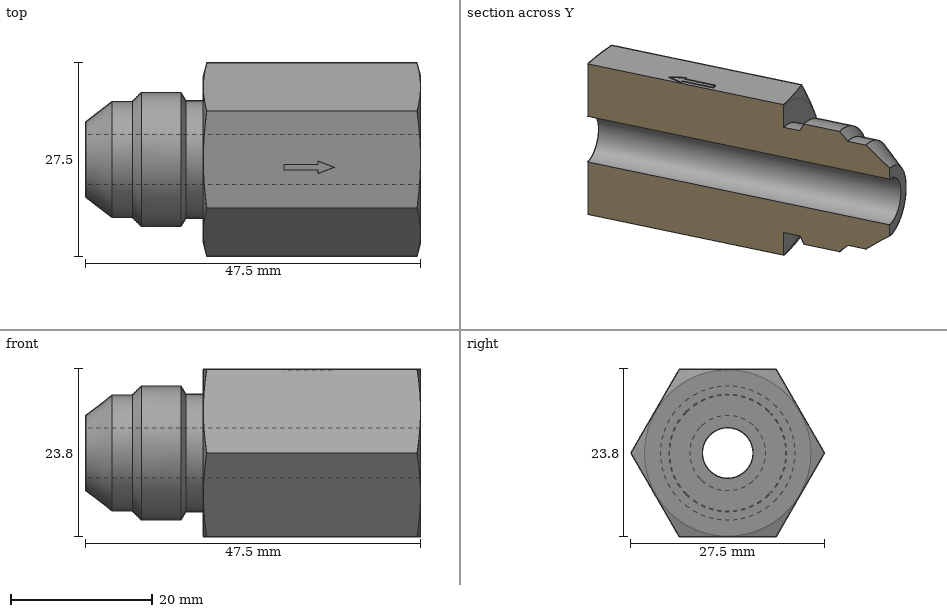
import cadquery as cq
import math

nose_cone_end = 3.75
nose_end = 6.6
thread_start = 7.9
thread_end = 13.5
neck_start = 14.2
hex_start = 16.65
total_length = 47.5

nose_tip_diameter = 10.7
nose_diameter = 16.48
thread_diameter = 19.05
neck_diameter = 16.69
bore_diameter = 7.14

across_flats = 23.8
across_corners = across_flats / math.cos(math.radians(30))
chamfer_face_diameter = 23.6
chamfer_angle = 15.0

arrow_tail_x = 28.1
arrow_length = 7.15
arrow_head_length = 2.3
arrow_shaft_width = 0.8
arrow_head_width = 1.75
arrow_y = -1.1
arrow_depth = 0.1


def revolve_about_x(profile_points):
    """Revolve a closed (x, radius) outline about the X axis."""
    outline = cq.Workplane("XY").polyline(profile_points).close()
    return outline.revolve(360, (0, 0, 0), (1, 0, 0))


def make_turned_end():
    """Coned nose, thread land and neck, ending at the hexagon face."""
    nose_tip_radius = nose_tip_diameter / 2
    nose_radius = nose_diameter / 2
    thread_radius = thread_diameter / 2
    neck_radius = neck_diameter / 2
    return revolve_about_x([
        (0, 0),
        (0, nose_tip_radius),
        (nose_cone_end, nose_radius),
        (nose_end, nose_radius),
        (thread_start, thread_radius),
        (thread_end, thread_radius),
        (neck_start, neck_radius),
        (hex_start, neck_radius),
        (hex_start, 0),
    ])


def make_hex_body():
    """Hexagonal prism, flats up and down, with its corners chamfered at both ends."""
    prism = (
        cq.Workplane("YZ", origin=(hex_start, 0, 0))
        .polygon(6, across_corners)
        .extrude(total_length - hex_start)
    )
    face_radius = chamfer_face_diameter / 2
    corner_radius = across_corners / 2
    chamfer_length = (corner_radius - face_radius) * math.tan(math.radians(chamfer_angle))
    envelope = revolve_about_x([
        (hex_start, 0),
        (hex_start, face_radius),
        (hex_start + chamfer_length, corner_radius),
        (total_length - chamfer_length, corner_radius),
        (total_length, face_radius),
        (total_length, 0),
    ])
    return prism.intersect(envelope)


def make_bore():
    """Through bore along the X axis."""
    return cq.Workplane("YZ").circle(bore_diameter / 2).extrude(total_length)


def make_flow_arrow():
    """Shallow arrow pointing along +X, sunk below the top flat."""
    tip_x = arrow_tail_x + arrow_length
    head_x = tip_x - arrow_head_length
    half_shaft = arrow_shaft_width / 2
    half_head = arrow_head_width / 2
    return (
        cq.Workplane("XY", origin=(0, arrow_y, across_flats / 2))
        .polyline([
            (arrow_tail_x, -half_shaft),
            (head_x, -half_shaft),
            (head_x, -half_head),
            (tip_x, 0),
            (head_x, half_head),
            (head_x, half_shaft),
            (arrow_tail_x, half_shaft),
        ])
        .close()
        .extrude(-arrow_depth)
    )


result = make_turned_end().union(make_hex_body()).cut(make_bore()).cut(make_flow_arrow())